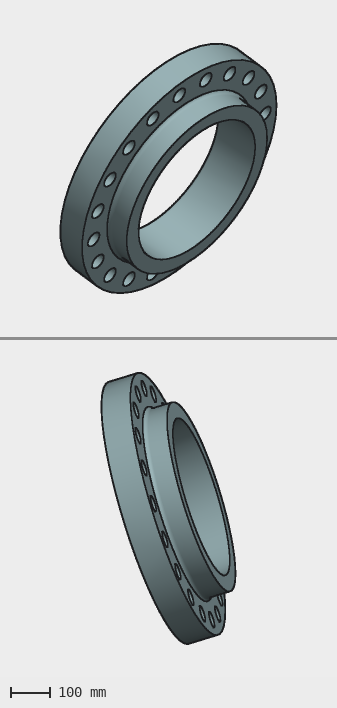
import cadquery as cq

flange_diameter = 686.0
flange_thickness = 77.5
root_fillet_start = 76.0
overall_length = 140.0
hub_diameter = 495.0
bore_diameter = 411.0
bore_edge_radius = 13.0
hub_root_radius = 13.0

bolt_count = 20
bolt_circle_diameter = 603.5
bolt_hole_diameter = 41.0


def make_disc(diameter, length):
    """Solid cylinder along X, starting at the flat face."""
    return cq.Workplane("YZ").circle(diameter / 2).extrude(length)


def make_body():
    """Flange disc and straight hub; the flange buries the outermost part of the root fillet."""
    root_edge = cq.selectors.RadiusNthSelector(0)
    core = make_disc(flange_diameter, root_fillet_start).union(make_disc(hub_diameter, overall_length))
    core = core.faces("<X[1]").edges(root_edge).fillet(hub_root_radius)
    return core.union(make_disc(flange_diameter, flange_thickness))


def cut_bore(body):
    """Through bore, rounded where it meets the flat flange face."""
    bore = make_disc(bore_diameter, overall_length)
    bore_edge = cq.selectors.RadiusNthSelector(0)
    return body.cut(bore).faces("<X").edges(bore_edge).fillet(bore_edge_radius)


def make_bolt_holes():
    """Ring of through holes, the first one on the +Y axis."""
    return (
        cq.Workplane("YZ")
        .polarArray(bolt_circle_diameter / 2, 0, 360, bolt_count)
        .circle(bolt_hole_diameter / 2)
        .extrude(flange_thickness)
    )


result = cut_bore(make_body()).cut(make_bolt_holes())